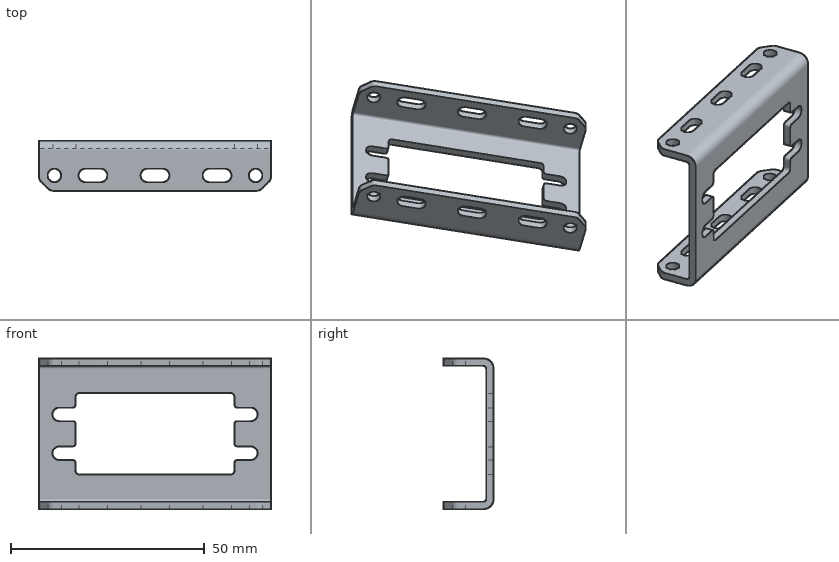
import cadquery as cq

length = 60.0
depth = 13.0
height = 39.0
thickness = 2.0
inner_bend_radius = 0.7
outer_bend_radius = inner_bend_radius + thickness

corner_chamfer = 3.0
corner_radius = 2.0

hole_diameter = 3.4
hole_edge_distance = 4.0
slot_length = 7.4
slot_pitch = 16.0
round_hole_x = length / 2 - hole_edge_distance

window_width = 41.0
window_height = 21.0
window_corner_radius = 1.0
side_slot_span = 52.9
side_slot_pitch = 10.0
slot_mouth_radius = 0.8

back_y = depth / 2
front_y = -depth / 2
hole_row_y = front_y + hole_edge_distance


def make_channel():
    """Bent sheet channel, centred on the origin and open toward -Y."""
    outer = (
        cq.Workplane("XY")
        .box(length, depth, height)
        .edges("|X and >Y")
        .fillet(outer_bend_radius)
    )
    cavity = (
        cq.Workplane("XY")
        .box(length, depth, height - 2 * thickness)
        .edges("|X and >Y")
        .fillet(inner_bend_radius)
        .translate((0, -thickness, 0))
    )
    return outer.cut(cavity)


def make_flange_outline():
    """Full-height block whose front corners are chamfered and then rounded."""
    return (
        cq.Workplane("XY")
        .box(length, depth, height)
        .edges("|Z and <Y")
        .chamfer(corner_chamfer)
        .edges("|Z and (not >Y)")
        .fillet(corner_radius)
    )


def make_flange_cutters():
    """Round end holes and lengthwise slots running through both flanges."""
    row = cq.Workplane("XY", origin=(0, hole_row_y, -height / 2))
    round_holes = (
        row.pushPoints([(-round_hole_x, 0), (round_hole_x, 0)])
        .circle(hole_diameter / 2)
        .extrude(height)
    )
    slots = (
        row.pushPoints([(-slot_pitch, 0), (0, 0), (slot_pitch, 0)])
        .slot2D(slot_length, hole_diameter)
        .extrude(height)
    )
    return round_holes.union(slots)


def make_window_cutter():
    """Rounded window joined to two long slots, with rounded slot mouths."""
    web_plane = cq.Workplane("XZ", origin=(0, back_y, 0))
    window = (
        web_plane.rect(window_width, window_height)
        .extrude(thickness)
        .edges("|Y")
        .fillet(window_corner_radius)
    )
    side_slots = (
        web_plane.pushPoints([(0, -side_slot_pitch / 2), (0, side_slot_pitch / 2)])
        .slot2D(side_slot_span, hole_diameter)
        .extrude(thickness)
    )
    cutter = window.union(side_slots)

    selector = cq.selectors.NearestToPointSelector
    mouth_edges = []
    for side in (-1, 1):
        for row in (-1, 1):
            for lip in (-1, 1):
                mouth_x = side * window_width / 2
                mouth_z = row * side_slot_pitch / 2 + lip * hole_diameter / 2
                mouth_point = (mouth_x, back_y - thickness / 2, mouth_z)
                mouth_edges.append(cutter.edges(selector(mouth_point)).val())
    return cutter.newObject(mouth_edges).fillet(slot_mouth_radius)


result = (
    make_channel()
    .intersect(make_flange_outline())
    .cut(make_flange_cutters())
    .cut(make_window_cutter())
)